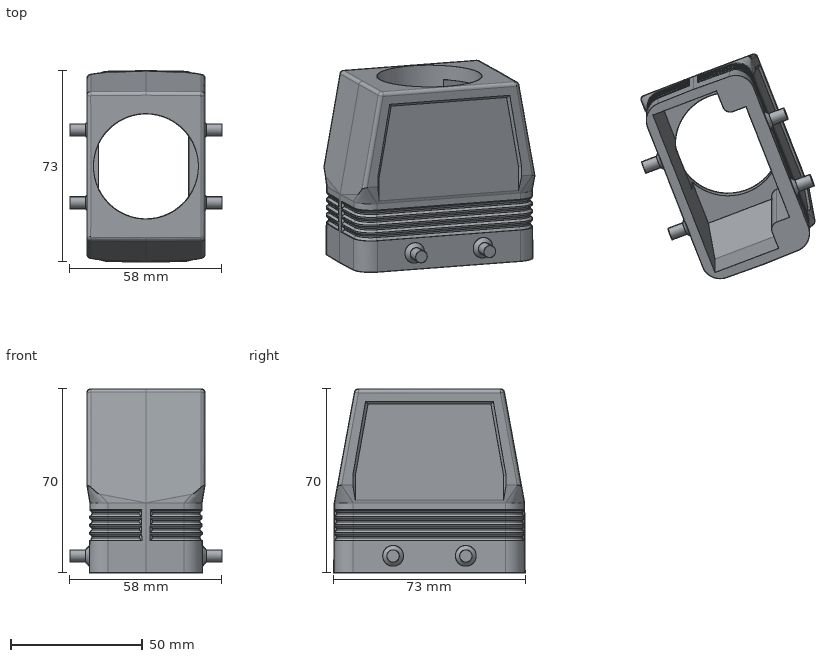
import cadquery as cq
import math

base_half_width = 21.6
base_half_length = 36.5
base_corner_radius = 7.2
base_top = 26.6
draft = math.tan(math.radians(0.5))
base_crown = 0.4

hood_half_width = 22.5
hood_height = 70.0
hood_crown = 0.1
hood_top_half_length = 28.35
hood_corner_radius = 1.5
flare_top = 33.5
flare_overhang = 0.5
hood_edge_radius = 1.5

groove_count = 4
groove_pitch = 3.0
first_groove_middle = 13.6
groove_depth = 0.9
groove_floor = 0.6
groove_band_bottom = 12.2
groove_band_top = 24.15
groove_ledge = 0.3
groove_lip = 0.1
strip_half_width = 1.45

panel_depth = 0.95
panel_top = 65.2
panel_top_half_length = 24.35
panel_half_length = 29.2
panel_corner_height = 37.0

pin_radius = 2.35
pin_tip = 29.0
pin_spacing = 27.7
pin_height = 6.4
pin_collar_end = 23.0
pin_collar_radius = 4.0
pin_embedding = 1.0

entry_radius = 20.0
entry_floor = 50.0
cavity_left = -18.0
cavity_right = 16.25
cavity_ceiling = 64.5
end_wall = 3.5
post_left = 8.0
post_inner_face = 23.0
post_corner_radius = 3.0

base_inset = base_top * draft
shoulder_half_length = base_half_length - base_inset
end_slope = (shoulder_half_length - hood_top_half_length) / (hood_height - base_top)


def outline(height, half_width, half_length, corner_radius, crown_drop):
    """Closed plan outline with rounded corners; the halves of each end fall back by crown_drop."""
    x, side_y = half_width, half_length - crown_drop
    plan = (
        cq.Workplane("XY")
        .polyline([(-x, -side_y), (0, -half_length), (x, -side_y), (x, side_y),
                   (0, half_length), (-x, side_y)])
        .close()
        .extrude(1)
        .edges("|Z and (<X or >X)")
        .fillet(corner_radius)
    )
    return plan.faces("<Z").wires().val().translate(cq.Vector(0, 0, height))


def base_outline(height, inset=0):
    shrink = height * draft + inset
    return outline(height, base_half_width - shrink, base_half_length - shrink, base_corner_radius - shrink,
                   base_crown)


def hood_outline(height, overhang=0, crown=hood_crown):
    half_length = shoulder_half_length + overhang - end_slope * (height - base_top)
    return outline(height, hood_half_width, half_length, hood_corner_radius, crown)


def loft(*wires):
    return cq.Workplane(cq.Solid.makeLoft(list(wires), True))


def slab(bottom, top):
    """Block larger than the part in plan, between two heights."""
    return (
        cq.Workplane("XY", origin=(0, 0, bottom))
        .rect(4 * base_half_width, 4 * base_half_length)
        .extrude(top - bottom)
    )


def grip_base():
    """Base with V-sided grooves all around, interrupted by a strip on each end."""
    core_outlines = [base_outline(groove_band_bottom, groove_ledge)]
    for index in range(groove_count):
        middle = first_groove_middle + index * groove_pitch
        floor_half = groove_floor / 2
        rim_half = floor_half + groove_depth
        if index > 0:
            core_outlines.append(base_outline(middle - rim_half))
        core_outlines.append(base_outline(middle - floor_half, groove_depth))
        core_outlines.append(base_outline(middle + floor_half, groove_depth))
        rim_inset = 0 if index < groove_count - 1 else groove_lip
        core_outlines.append(base_outline(middle + rim_half, rim_inset))
    core_outlines.append(base_outline(groove_band_top, groove_lip))

    strip_foot = base_half_length / 2
    foot_half_width = strip_half_width + base_half_length - strip_foot
    strip = (
        cq.Workplane("XY")
        .polyline([(-strip_half_width, base_half_length), (strip_half_width, base_half_length),
                   (foot_half_width, strip_foot), (-foot_half_width, strip_foot)])
        .close()
        .extrude(base_top)
    )
    grooves = slab(groove_band_bottom, groove_band_top).cut(loft(*core_outlines))
    grooves = grooves.cut(strip).cut(strip.mirror("XZ"))
    return loft(base_outline(0), base_outline(base_top)).cut(grooves)


def hood():
    """Hood with sloping ends, narrowed below by a flare that starts from the base outline."""
    shell = loft(hood_outline(base_top), hood_outline(hood_height))
    shell = shell.faces(">Z").edges().fillet(hood_edge_radius)
    flare = loft(base_outline(base_top), hood_outline(flare_top, flare_overhang, base_crown))
    return shell.cut(slab(base_top, flare_top).cut(flare))


def side_panel():
    """Cutter for the -X panel; its walls lean in at 45 degrees and its floor runs out below."""
    def panel_wire(x, inset):
        points = [
            (panel_top_half_length - inset, panel_top - inset),
            (panel_half_length - inset, panel_corner_height),
            (panel_half_length - inset, base_top),
        ]
        mirrored = [(-y, z) for y, z in reversed(points)]
        return cq.Wire.makePolygon([cq.Vector(x, y, z) for y, z in points + mirrored], close=True)

    return loft(
        panel_wire(-hood_half_width, 0),
        panel_wire(-hood_half_width + panel_depth, panel_depth),
    )


def pin(y):
    """Locking pin on the -X side with a conical collar."""
    root = base_half_width - pin_embedding
    collar_root_radius = pin_collar_radius + pin_embedding
    profile = (
        cq.Workplane("XY", origin=(0, y, pin_height))
        .polyline([(-root, 0), (-root, -collar_root_radius), (-pin_collar_end, -pin_radius),
                   (-pin_tip, -pin_radius), (-pin_tip, 0)])
        .close()
    )
    return profile.revolve(360, (0, 0, 0), (1, 0, 0))


def cavity():
    """Hollow open at the bottom, with a screw post at each +X corner and a round cable entry above."""
    straight = base_half_length - base_inset - end_wall
    ceiling_half_length = straight - end_slope * (cavity_ceiling - base_top)
    profile = [(straight, 0), (straight, base_top), (ceiling_half_length, cavity_ceiling)]
    mirrored = [(-y, z) for y, z in reversed(profile)]
    hollow = (
        cq.Workplane("YZ", origin=(cavity_left, 0, 0))
        .polyline(profile + mirrored)
        .close()
        .extrude(cavity_right - cavity_left)
    )
    post_width = cavity_right - post_left
    post_depth = base_half_length - post_inner_face
    post = (
        cq.Workplane("XY")
        .box(post_width, post_depth, cavity_ceiling, centered=False)
        .edges("|Z and <X and <Y")
        .fillet(post_corner_radius)
        .translate((post_left, post_inner_face, 0))
    )
    entry = (
        cq.Workplane("XY", origin=(0, 0, entry_floor))
        .circle(entry_radius)
        .extrude(hood_height - entry_floor)
    )
    return hollow.cut(post).cut(post.mirror("XZ")).union(entry)


body = grip_base().union(hood())
panel = side_panel()
body = body.cut(panel).cut(panel.mirror("YZ"))
for y in (-pin_spacing / 2, pin_spacing / 2):
    body = body.union(pin(y)).union(pin(y).mirror("YZ"))
result = body.cut(cavity())